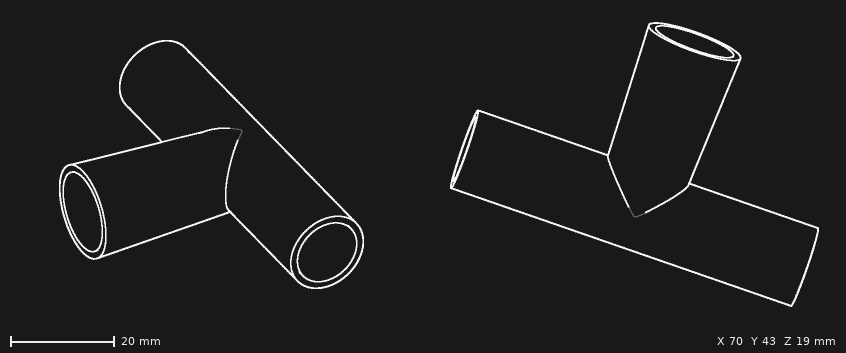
import cadquery as cq

run_length = 70.0
run_diameter = 16.0
branch_length = 35.0
mouth_diameter = 19.0
wall = 1.5

run_radius = run_diameter / 2
mouth_radius = mouth_diameter / 2


def run_cylinder(radius):
    """Cylinder along X, centred on the origin."""
    return cq.Workplane("YZ").circle(radius).extrude(run_length / 2, both=True)


def branch_cone(axis_radius, end_radius):
    """Cone along -Y, widening from the run axis to the branch mouth."""
    cone = cq.Solid.makeCone(
        axis_radius, end_radius, branch_length, pnt=cq.Vector(0, 0, 0), dir=cq.Vector(0, -1, 0)
    )
    return cq.Workplane(cone)


outer = run_cylinder(run_radius).union(branch_cone(run_radius, mouth_radius))

run_bore = run_cylinder(run_radius - wall)
branch_bore = branch_cone(run_radius - wall, mouth_radius - wall)

result = outer.cut(run_bore).cut(branch_bore)